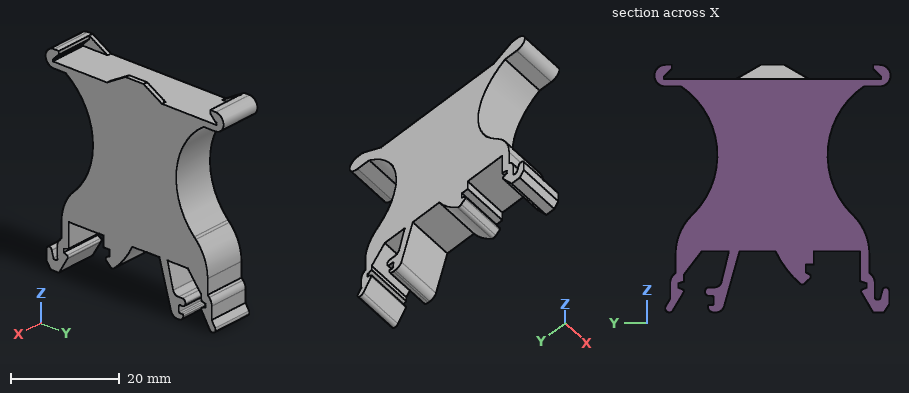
import cadquery as cq
import math


WIDTH = 9.5
LENGTH = 43.5
HEIGHT = 45.6

DECK_Z = 43.0
CEILING_Z = 11.25

RAIL_RADIUS = 2.0
RAIL_Y = LENGTH / 2 - RAIL_RADIUS
RAIL_Z = HEIGHT - RAIL_RADIUS
RAIL_BOTTOM_Z = HEIGHT - 2 * RAIL_RADIUS
RAIL_INNER_Y = 18.5
RAIL_LIP_HEIGHT = 0.75
UNDERCUT_DEPTH = 1.47
UNDERCUT_Y = RAIL_INNER_Y + UNDERCUT_DEPTH
UNDERCUT_TOP_Z = HEIGHT - RAIL_LIP_HEIGHT

GUIDE_THICKNESS = 1.0
RAMP_LENGTH = (HEIGHT - DECK_Z) / math.tan(math.radians(30))
TAB_TOP_HALF = 2.2

WAIST_HALF = 10.16
WAIST_RADIUS = 15.3
WAIST_Z = 28.95
WAIST_END_Z = 18.25
SHOULDER_HALF = 17.85
SHOULDER_RADIUS = 10.0
SHOULDER_Z = 10.8
SHOULDER_ANGLE = math.radians(45)

LEG_INNER = 16.1
LEG_OUTER = 18.85
BULGE_TOP_Z = 7.37
BULGE_CORNER_Z = 6.37
BULGE_RADIUS = 2.2
NOTCH_Y = 17.3
NOTCH_TOP_Z = 5.35
NOTCH_BOTTOM_Z = 4.6
BARB_Y = 16.1
BARB_Z = 4.1
BARB_RADIUS = 0.4

MERGE_DISTANCE = 1e-6


def prism(outline, start=0.0, thickness=WIDTH):
    """Extrude a closed Y-Z outline along X."""
    return outline.extrude(thickness).translate((start, 0, 0))


def rounded_outline(corners):
    """Closed Y-Z outline through (y, z) or (y, z, radius) corners, with tangent arcs at the radii."""
    pieces = []
    count = len(corners)
    for index, corner in enumerate(corners):
        point = cq.Vector(corner[0], corner[1])
        radius = corner[2] if len(corner) > 2 else 0
        if not radius:
            pieces.append((point,))
            continue
        before = corners[index - 1]
        after = corners[(index + 1) % count]
        to_before = (cq.Vector(before[0], before[1]) - point).normalized()
        to_after = (cq.Vector(after[0], after[1]) - point).normalized()
        half_angle = to_before.getAngle(to_after) / 2
        setback = radius / math.tan(half_angle)
        bisector = (to_before + to_after).normalized()
        middle = point + bisector * (radius / math.sin(half_angle) - radius)
        pieces.append((point + to_before * setback, middle, point + to_after * setback))

    end = pieces[0][-1]
    outline = cq.Workplane("YZ").moveTo(end.x, end.y)
    for piece in pieces[1:] + pieces[:1]:
        if (piece[0] - end).Length > MERGE_DISTANCE:
            outline = outline.lineTo(piece[0].x, piece[0].y)
        if len(piece) > 1:
            _, middle, finish = piece
            outline = outline.threePointArc((middle.x, middle.y), (finish.x, finish.y))
        end = piece[-1]
    return outline.close()


def waist_y(z):
    """Half width of the waist arc at a level."""
    return WAIST_HALF + WAIST_RADIUS - math.sqrt(WAIST_RADIUS**2 - (z - WAIST_Z)**2)


def shoulder_point(angle):
    """Point on the shoulder arc, with the angle measured up from horizontal."""
    center_y = SHOULDER_HALF - SHOULDER_RADIUS
    return (center_y + SHOULDER_RADIUS * math.cos(angle), SHOULDER_Z + SHOULDER_RADIUS * math.sin(angle))


def make_body():
    """Waisted body with an undercut round rail at each end of the deck."""
    half = prism(
        cq.Workplane("YZ")
        .moveTo(0, DECK_Z)
        .lineTo(UNDERCUT_Y, DECK_Z)
        .lineTo(UNDERCUT_Y, UNDERCUT_TOP_Z - UNDERCUT_DEPTH)
        .lineTo(RAIL_INNER_Y, UNDERCUT_TOP_Z)
        .lineTo(RAIL_INNER_Y, HEIGHT)
        .lineTo(RAIL_Y, HEIGHT)
        .threePointArc((LENGTH / 2, RAIL_Z), (RAIL_Y, RAIL_BOTTOM_Z))
        .lineTo(waist_y(RAIL_BOTTOM_Z), RAIL_BOTTOM_Z)
        .threePointArc((WAIST_HALF, WAIST_Z), (waist_y(WAIST_END_Z), WAIST_END_Z))
        .lineTo(*shoulder_point(SHOULDER_ANGLE))
        .threePointArc(shoulder_point(SHOULDER_ANGLE / 2), shoulder_point(0))
        .lineTo(LEG_INNER, SHOULDER_Z)
        .lineTo(LEG_INNER, CEILING_Z)
        .lineTo(0, CEILING_Z)
        .close()
    )
    return half.union(half.mirror("XZ"))


def make_end_guide():
    """Ramped guide on the near side, in the corner between the deck and the +Y rail."""
    outline = rounded_outline([
        (RAIL_INNER_Y - RAMP_LENGTH, DECK_Z),
        (RAIL_INNER_Y, HEIGHT),
        (RAIL_Y, HEIGHT),
        (UNDERCUT_Y, RAIL_Z),
        (UNDERCUT_Y, DECK_Z),
    ])
    return prism(outline, thickness=GUIDE_THICKNESS)


def make_middle_tab():
    """Trapezoidal tab on the far side, in the middle of the deck."""
    base_half = TAB_TOP_HALF + RAMP_LENGTH
    outline = rounded_outline([
        (-base_half, DECK_Z),
        (-TAB_TOP_HALF, HEIGHT),
        (TAB_TOP_HALF, HEIGHT),
        (base_half, DECK_Z),
    ])
    return prism(outline, start=WIDTH - GUIDE_THICKNESS, thickness=GUIDE_THICKNESS)


def make_lever_leg():
    """+Y leg: braced at the root, notched, and ending in a slanted round-tipped lever."""
    brace_y = 13.0
    brace_bottom_z = 7.0
    land_y = 16.25
    land_bottom_z = 5.7
    lever_start_z = 2.55
    tip_radius = 0.79
    tip_outer = (20.08, 0.53)
    tip_inner = (18.71, -0.29)
    outline = rounded_outline([
        (brace_y, CEILING_Z),
        (LEG_INNER, CEILING_Z),
        (LEG_INNER, SHOULDER_Z),
        (SHOULDER_HALF, SHOULDER_Z),
        (SHOULDER_HALF, BULGE_TOP_Z),
        (LEG_OUTER, BULGE_CORNER_Z, BULGE_RADIUS),
        (LEG_OUTER, lever_start_z),
        (*tip_outer, tip_radius),
        (*tip_inner, tip_radius),
        (BARB_Y, BARB_Z, BARB_RADIUS),
        (NOTCH_Y, NOTCH_BOTTOM_Z),
        (NOTCH_Y, NOTCH_TOP_Z),
        (land_y, land_bottom_z),
        (land_y, brace_bottom_z),
    ])
    return prism(outline)


def make_hook_leg():
    """-Y leg: straight and notched, with a foot that turns up outside into a hook."""
    slot_bottom_z = 2.4
    slot_outer_y = -19.75
    slot_radius = 0.4
    hook_top_z = 4.65
    hook_inner_y = -20.35
    hook_outer_y = -21.5
    hook_chamfer_z = 1.5
    foot_outer_y = -20.5
    foot_inner_y = -18.5
    ledge_z = 5.75
    hook_lean = math.atan2(slot_outer_y - hook_inner_y, hook_top_z - slot_bottom_z)
    top_half_angle = math.pi / 4 + hook_lean / 2
    hook_radius = (hook_inner_y - hook_outer_y) / (1 + 1 / math.tan(top_half_angle))
    outline = rounded_outline([
        (-LEG_INNER, SHOULDER_Z),
        (-SHOULDER_HALF, SHOULDER_Z),
        (-SHOULDER_HALF, BULGE_TOP_Z),
        (-LEG_OUTER, BULGE_CORNER_Z, BULGE_RADIUS),
        (-LEG_OUTER, slot_bottom_z, slot_radius),
        (slot_outer_y, slot_bottom_z, slot_radius),
        (hook_inner_y, hook_top_z, hook_radius),
        (hook_outer_y, hook_top_z, hook_radius),
        (hook_outer_y, hook_chamfer_z),
        (foot_outer_y, 0),
        (foot_inner_y, 0),
        (-BARB_Y, BARB_Z, BARB_RADIUS),
        (-NOTCH_Y, NOTCH_BOTTOM_Z),
        (-NOTCH_Y, NOTCH_TOP_Z),
        (-LEG_INNER, ledge_z),
    ])
    return prism(outline)


def make_finger():
    """Slanted finger with two round noses around a gap."""
    root_front_y = 8.05
    root_back_y = 6.05
    elbow_y = 9.65
    elbow_radius = 1.3
    upper_nose_y = 12.45
    upper_nose_top_z = 4.65
    upper_nose_bottom_z = 3.05
    upper_nose_radius = 0.79
    gap_y = 10.85
    lower_nose_y = 11.9
    lower_nose_top_z = 1.4
    small_radius = 0.25
    toe_radius = 1.1
    heel_y = 9.2
    heel_radius = 1.6
    outline = rounded_outline([
        (root_front_y, CEILING_Z),
        (elbow_y, upper_nose_top_z, elbow_radius),
        (upper_nose_y, upper_nose_top_z, upper_nose_radius),
        (upper_nose_y, upper_nose_bottom_z, upper_nose_radius),
        (gap_y, upper_nose_bottom_z, small_radius),
        (gap_y, lower_nose_top_z, small_radius),
        (lower_nose_y, lower_nose_top_z, small_radius),
        (lower_nose_y, 0, toe_radius),
        (heel_y, 0, heel_radius),
        (root_back_y, CEILING_Z),
    ])
    return prism(outline)


def make_latch():
    """Stout latch with a curved back and a rounded nose below a square step."""
    step_y = -7.6
    step_z = 8.8
    neck_y = -6.15
    neck_bottom_z = 7.4
    back_top_y = -0.55
    back_middle = (-2.45, 8.1)
    back_bottom = (-5.05, 5.3)
    tip_middle = (-5.5, 5.15)
    tip_end = (-6.0, 5.4)
    nose_bottom = (-6.95, 6.3)
    nose_middle = (-7.05, 6.7)
    nose_top = (-6.85, 7.05)
    outline = (
        cq.Workplane("YZ")
        .moveTo(step_y, CEILING_Z)
        .lineTo(back_top_y, CEILING_Z)
        .threePointArc(back_middle, back_bottom)
        .threePointArc(tip_middle, tip_end)
        .lineTo(*nose_bottom)
        .threePointArc(nose_middle, nose_top)
        .lineTo(neck_y, neck_bottom_z)
        .lineTo(neck_y, step_z)
        .lineTo(step_y, step_z)
        .close()
    )
    return prism(outline)


end_guide = make_end_guide()
result = (
    make_body()
    .union(end_guide)
    .union(end_guide.mirror("XZ"))
    .union(make_middle_tab())
    .union(make_lever_leg())
    .union(make_hook_leg())
    .union(make_finger())
    .union(make_latch())
    .clean()
)